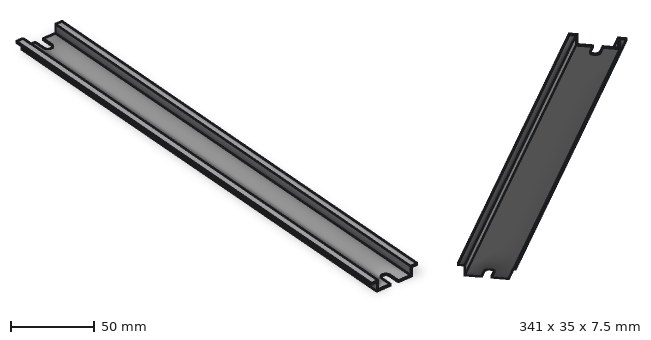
import cadquery as cq

length = 341.0
overall_width = 35.0
height = 7.5
thickness = 1.0
channel_width = 27.0

slot_width = 6.0
slot_depth = 11.3


def make_rail():
    """Channel with outward lips along its top, of constant thickness."""
    half_width = overall_width / 2
    half_outer = channel_width / 2
    half_inner = half_outer - thickness
    right_side = [
        (half_outer, 0),
        (half_outer, height - thickness),
        (half_width, height - thickness),
        (half_width, height),
        (half_inner, height),
        (half_inner, thickness),
    ]
    left_side = [(-y, z) for y, z in reversed(right_side)]
    return (
        cq.Workplane("YZ")
        .polyline(right_side + left_side)
        .close()
        .extrude(length / 2, both=True)
    )


def make_slot(end):
    """Cutter for the slot at the -X (end = -1) or +X (end = 1) end."""
    return (
        cq.Workplane("XY")
        .center(end * length / 2, 0)
        .slot2D(2 * slot_depth, slot_width)
        .extrude(height)
    )


result = make_rail()
for end in (-1, 1):
    result = result.cut(make_slot(end))